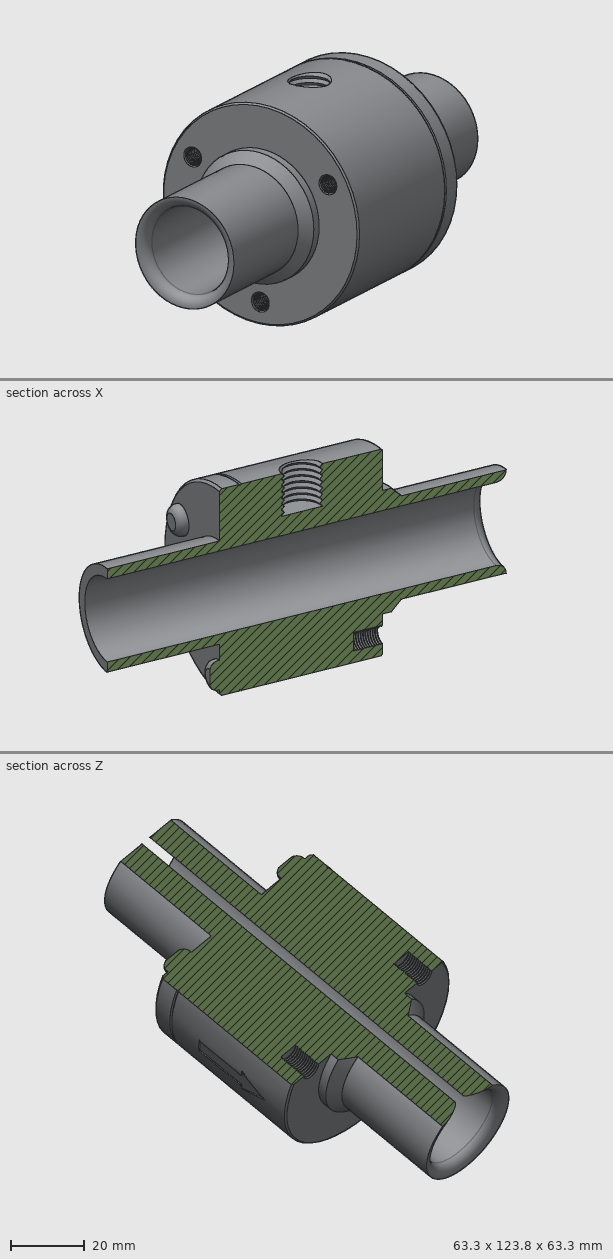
import cadquery as cq
import math

OVERALL_LENGTH = 123.8
BACK_END = OVERALL_LENGTH / 2
FRONT_END = -OVERALL_LENGTH / 2

TUBE_RADIUS = 15.8
BORE_RADIUS = 12.6
MOUTH_RADIUS = TUBE_RADIUS - BORE_RADIUS

BODY_RADIUS = 31.63
BODY_BACK = 27.1
BODY_FRONT = -23.5
BACK_CHAMFER = 0.7
FRONT_CHAMFER = 0.5
CAP_JOINT = 20.7
JOINT_GROOVE_DEPTH = 0.4

COLLAR_RADIUS = 19.0
COLLAR_SHOULDER = -26.2
COLLAR_TAPER = COLLAR_RADIUS - TUBE_RADIUS

BOLT_CIRCLE_RADIUS = 25.1
BOLT_ANGLES = (30, 150, 270)
HEAD_RADIUS = 4.6
HEAD_FLAT_RADIUS = 2.5
HEAD_HEIGHT = 3.0
MOUNT_MAJOR_RADIUS = 2.8
MOUNT_MINOR_RADIUS = 2.5
MOUNT_PITCH = 0.7
MOUNT_TURNS = 12

PORT_Y = 1.5
PORT_MAJOR_RADIUS = 6.3
PORT_MINOR_RADIUS = 5.5
PORT_PITCH = 1.9
PORT_TURNS = 7

ARROW_TAIL = 9.9
ARROW_SHOULDER = -6.3
ARROW_TIP = -15.2
ARROW_SHAFT_HALF_WIDTH = 2.5
ARROW_HEAD_HALF_WIDTH = 4.1
ARROW_DEPTH = 0.5


def threaded_cutter(major_radius, minor_radius, pitch, turns):
    """Blind threaded hole, open at the origin and running along +Y, with one V ring per pitch."""
    profile = cq.Workplane("XY").lineTo(major_radius, 0)
    for turn in range(turns):
        profile = profile.lineTo(minor_radius, (turn + 0.5) * pitch)
        profile = profile.lineTo(major_radius, (turn + 1) * pitch)
    profile = profile.lineTo(0, turns * pitch).close()
    return profile.revolve(360, (0, 0, 0), (0, 1, 0))


def flow_body():
    """Tubes, collar and housing as one turned solid around the Y axis."""
    mid_angle = math.radians(45)
    mouth_mid_radius = TUBE_RADIUS - MOUTH_RADIUS * math.sin(mid_angle)
    mouth_mid_y = FRONT_END + MOUTH_RADIUS * (1 - math.cos(mid_angle))
    return (
        cq.Workplane("XY")
        .moveTo(BORE_RADIUS, BACK_END)
        .lineTo(TUBE_RADIUS, BACK_END)
        .lineTo(TUBE_RADIUS, BODY_BACK)
        .lineTo(BODY_RADIUS - BACK_CHAMFER, BODY_BACK)
        .lineTo(BODY_RADIUS, BODY_BACK - BACK_CHAMFER)
        .lineTo(BODY_RADIUS, CAP_JOINT + JOINT_GROOVE_DEPTH)
        .lineTo(BODY_RADIUS - JOINT_GROOVE_DEPTH, CAP_JOINT)
        .lineTo(BODY_RADIUS, CAP_JOINT - JOINT_GROOVE_DEPTH)
        .lineTo(BODY_RADIUS, BODY_FRONT + FRONT_CHAMFER)
        .lineTo(BODY_RADIUS - FRONT_CHAMFER, BODY_FRONT)
        .lineTo(COLLAR_RADIUS, BODY_FRONT)
        .lineTo(COLLAR_RADIUS, COLLAR_SHOULDER)
        .lineTo(TUBE_RADIUS, COLLAR_SHOULDER - COLLAR_TAPER)
        .lineTo(TUBE_RADIUS, FRONT_END)
        .threePointArc((mouth_mid_radius, mouth_mid_y), (BORE_RADIUS, FRONT_END + MOUTH_RADIUS))
        .close()
        .revolve(360, (0, 0, 0), (0, 1, 0))
    )


def screw_head():
    """Domed head with a flat top, seated at the origin and rising along +Y."""
    dome_width = HEAD_RADIUS - HEAD_FLAT_RADIUS
    mid_angle = math.radians(45)
    dome_mid = (
        HEAD_FLAT_RADIUS + dome_width * math.cos(mid_angle),
        HEAD_HEIGHT * math.sin(mid_angle),
    )
    return (
        cq.Workplane("XY")
        .lineTo(HEAD_RADIUS, 0)
        .threePointArc(dome_mid, (HEAD_FLAT_RADIUS, HEAD_HEIGHT))
        .lineTo(0, HEAD_HEIGHT)
        .close()
        .revolve(360, (0, 0, 0), (0, 1, 0))
    )


def port_cutter():
    """Threaded port pointing down from the top of the housing."""
    cutter = threaded_cutter(PORT_MAJOR_RADIUS, PORT_MINOR_RADIUS, PORT_PITCH, PORT_TURNS)
    return cutter.rotate((0, 0, 0), (1, 0, 0), -90).translate((0, PORT_Y, BODY_RADIUS))


def arrow_cutter():
    """Flat-bottomed arrow recess pointing toward the front tube."""
    return (
        cq.Workplane("YZ", origin=(-BODY_RADIUS, 0, 0))
        .moveTo(ARROW_TAIL, ARROW_SHAFT_HALF_WIDTH)
        .lineTo(ARROW_SHOULDER, ARROW_SHAFT_HALF_WIDTH)
        .lineTo(ARROW_SHOULDER, ARROW_HEAD_HALF_WIDTH)
        .lineTo(ARROW_TIP, 0)
        .lineTo(ARROW_SHOULDER, -ARROW_HEAD_HALF_WIDTH)
        .lineTo(ARROW_SHOULDER, -ARROW_SHAFT_HALF_WIDTH)
        .lineTo(ARROW_TAIL, -ARROW_SHAFT_HALF_WIDTH)
        .close()
        .extrude(ARROW_DEPTH)
    )


result = flow_body().cut(port_cutter()).cut(arrow_cutter())

mount_cutter = threaded_cutter(MOUNT_MAJOR_RADIUS, MOUNT_MINOR_RADIUS, MOUNT_PITCH, MOUNT_TURNS)
for angle in BOLT_ANGLES:
    bolt_x = BOLT_CIRCLE_RADIUS * math.cos(math.radians(angle))
    bolt_z = BOLT_CIRCLE_RADIUS * math.sin(math.radians(angle))
    result = result.union(screw_head().translate((bolt_x, BODY_BACK, bolt_z)))
    result = result.cut(mount_cutter.translate((bolt_x, BODY_FRONT, bolt_z)))